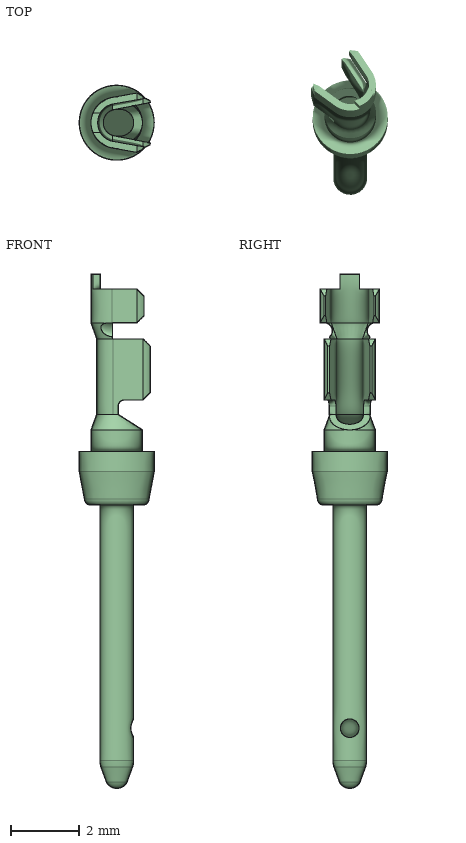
import cadquery as cq
import math

total_length = 15.1
wall = 0.2

collar_radius = 1.1
collar_base_radius = 0.95
collar_round = 0.18
collar_bottom_z = 8.32
collar_rim_z = 9.3
collar_top_z = 9.89

pin_radius = 0.5
tip_radius = 0.3
dome_height = 0.18
cone_top_z = 0.63
shoulder_top_z = 0.82
shoulder_inset = 0.03
vent_diameter = 0.55
vent_z = 1.77

neck_radius = 0.75
neck_top_z = 10.52
cavity_floor_z = collar_top_z + wall

wire_radius = 0.59
wire_bottom_z = 10.98
wire_tab_bottom_z = 11.4
wire_top_z = 13.2
wire_tab_end_x = 0.95
wire_spread = 11.0
wire_bevel_depth = 0.14

insulation_radius = neck_radius
insulation_bottom_z = 13.67
insulation_top_z = 14.66
insulation_tab_end_x = 0.77
insulation_spread = 10.0
insulation_bevel_depth = 0.15

bevel_length = 0.18
relief_x = 0.05
relief_radius = 0.18

bridge_front_x = -0.12
bridge_waist = 0.51
tongue_half_width = 0.29


def cone_frustum(bottom_radius, top_radius, bottom_z, top_z):
    """Solid cone frustum about Z."""
    outline = [(0, bottom_z), (bottom_radius, bottom_z), (top_radius, top_z), (0, top_z)]
    return cq.Workplane("XZ").polyline(outline).close().revolve(360, (0, 0, 0), (0, 1, 0))


def open_barrel(radius, spread, end_x, bevel_depth, bottom_z, top_z):
    """Extruded U: a round back with two tabs that leave it tangentially and lean outward."""
    lean = math.radians(spread)
    inner_radius = radius - wall
    tab_length = (end_x + radius * math.sin(lean)) / math.cos(lean)

    def tab_point(along, across):
        x = along * math.cos(lean) - across * math.sin(lean)
        y = along * math.sin(lean) + across * math.cos(lean)
        return (x, y)

    def mirrored(point):
        return (point[0], -point[1])

    outer_start = tab_point(0, radius)
    bevel_start = tab_point(tab_length - bevel_length, radius)
    bevel_end = tab_point(tab_length, radius - bevel_depth)
    inner_end = tab_point(tab_length, inner_radius)
    inner_start = tab_point(0, inner_radius)
    return (
        cq.Workplane("XY", origin=(0, 0, bottom_z))
        .moveTo(*outer_start)
        .lineTo(*bevel_start)
        .lineTo(*bevel_end)
        .lineTo(*inner_end)
        .lineTo(*inner_start)
        .threePointArc((-inner_radius, 0), mirrored(inner_start))
        .lineTo(*mirrored(inner_end))
        .lineTo(*mirrored(bevel_end))
        .lineTo(*mirrored(bevel_start))
        .lineTo(*mirrored(outer_start))
        .threePointArc((-radius, 0), outer_start)
        .close()
        .extrude(top_z - bottom_z)
    )


def chamfer_tab_corners(barrel, end_x, bottom_z, top_z):
    """Cut the upper and lower outer corners of both tabs at 45 degrees."""
    for corner_z, inward in ((bottom_z, 1), (top_z, -1)):
        corner = (
            cq.Workplane("XZ")
            .moveTo(end_x - bevel_length, corner_z)
            .lineTo(end_x + bevel_length, corner_z)
            .lineTo(end_x + bevel_length, corner_z + inward * 2 * bevel_length)
            .close()
            .extrude(collar_radius, both=True)
        )
        barrel = barrel.cut(corner)
    return barrel


def make_wire_barrel():
    barrel = open_barrel(
        wire_radius, wire_spread, wire_tab_end_x, wire_bevel_depth, wire_bottom_z, wire_top_z
    )
    barrel = chamfer_tab_corners(barrel, wire_tab_end_x, wire_tab_bottom_z, wire_top_z)
    beyond_x = wire_tab_end_x + wall
    relief = (
        cq.Workplane("XZ")
        .moveTo(relief_x, wire_bottom_z)
        .lineTo(beyond_x, wire_bottom_z)
        .lineTo(beyond_x, wire_tab_bottom_z)
        .lineTo(relief_x + relief_radius, wire_tab_bottom_z)
        .radiusArc((relief_x, wire_tab_bottom_z - relief_radius), -relief_radius)
        .close()
        .extrude(collar_radius, both=True)
    )
    return barrel.cut(relief)


def make_insulation_barrel():
    """Barrel whose back continues upward as a narrow tongue."""
    barrel = open_barrel(
        insulation_radius,
        insulation_spread,
        insulation_tab_end_x,
        insulation_bevel_depth,
        insulation_bottom_z,
        total_length,
    )
    tongue_height = total_length - insulation_top_z
    tongue_space = (
        cq.Workplane("XY", origin=(-collar_radius / 2, 0, insulation_top_z))
        .rect(collar_radius, 2 * tongue_half_width)
        .extrude(tongue_height)
    )
    removed = (
        cq.Workplane("XY", origin=(0, 0, insulation_top_z))
        .rect(2 * collar_radius, 2 * collar_radius)
        .extrude(tongue_height)
        .cut(tongue_space)
    )
    return chamfer_tab_corners(
        barrel.cut(removed), insulation_tab_end_x, insulation_bottom_z, insulation_top_z
    )


def make_bridge():
    """Half cone shell joining the barrels, narrowed by a round notch on each side."""
    height = insulation_bottom_z - wire_top_z
    notch_radius = height / 2
    notch_length = 2 * insulation_radius
    shell = cone_frustum(wire_radius, insulation_radius, wire_top_z, insulation_bottom_z).cut(
        cone_frustum(wire_radius - wall, insulation_radius - wall, wire_top_z, insulation_bottom_z)
    )
    back_half = (
        cq.Workplane("XY", origin=(bridge_front_x - insulation_radius, 0, wire_top_z))
        .rect(2 * insulation_radius, 2 * insulation_radius)
        .extrude(height)
    )
    notches = (
        cq.Workplane("YZ", origin=(0, 0, wire_top_z + notch_radius))
        .pushPoints([(side * (bridge_waist + notch_length / 2), 0) for side in (-1, 1)])
        .slot2D(notch_length, height)
        .extrude(insulation_radius, both=True)
    )
    return shell.intersect(back_half).cut(notches)


def make_neck():
    """Cup with a conical top, cut off by a sloping plane on its open +X side."""
    cup = (
        cq.Workplane("XY", origin=(0, 0, collar_top_z))
        .circle(neck_radius)
        .extrude(neck_top_z - collar_top_z)
        .union(cone_frustum(neck_radius, wire_radius, neck_top_z, wire_bottom_z))
    )
    cavity = (
        cq.Workplane("XY", origin=(0, 0, cavity_floor_z))
        .circle(neck_radius - wall)
        .extrude(neck_top_z - cavity_floor_z)
        .union(cone_frustum(neck_radius - wall, wire_radius - wall, neck_top_z, wire_bottom_z))
    )
    slope = (
        cq.Workplane("XZ")
        .moveTo(relief_x, wire_bottom_z)
        .lineTo(neck_radius, neck_top_z)
        .lineTo(neck_radius, wire_bottom_z)
        .close()
        .extrude(neck_radius, both=True)
    )
    return cup.cut(cavity).cut(slope)


def make_pin():
    """Round pin with a rounded shoulder, a conical lead-in, a domed tip and a side hole."""
    dome_radius = (tip_radius**2 + dome_height**2) / (2 * dome_height)
    shoulder_mid = (pin_radius - shoulder_inset / 4, (cone_top_z + shoulder_top_z) / 2)
    pin = (
        cq.Workplane("XZ")
        .moveTo(0, 0)
        .radiusArc((tip_radius, dome_height), -dome_radius)
        .lineTo(pin_radius - shoulder_inset, cone_top_z)
        .threePointArc(shoulder_mid, (pin_radius, shoulder_top_z))
        .lineTo(pin_radius, collar_top_z)
        .lineTo(0, collar_top_z)
        .close()
        .revolve(360, (0, 0, 0), (0, 1, 0))
    )
    vent = (
        cq.Workplane("YZ")
        .center(0, vent_z)
        .circle(vent_diameter / 2)
        .extrude(2 * pin_radius)
    )
    return pin.cut(vent)


def make_contact():
    """Pin, neck and crimp end in one piece."""
    return (
        make_pin()
        .union(make_neck())
        .union(make_wire_barrel())
        .union(make_bridge())
        .union(make_insulation_barrel())
    )


def make_collar():
    """Tapered ring around the pin, against the underside of the neck."""
    return (
        cq.Workplane("XZ")
        .moveTo(pin_radius, collar_bottom_z)
        .lineTo(collar_base_radius - collar_round, collar_bottom_z)
        .radiusArc((collar_base_radius, collar_bottom_z + collar_round), -collar_round)
        .lineTo(collar_radius, collar_rim_z)
        .lineTo(collar_radius, collar_top_z)
        .lineTo(pin_radius, collar_top_z)
        .close()
        .revolve(360, (0, 0, 0), (0, 1, 0))
    )


contact = make_contact()
collar = make_collar()

result = cq.Compound.makeCompound([contact.val(), collar.val()])